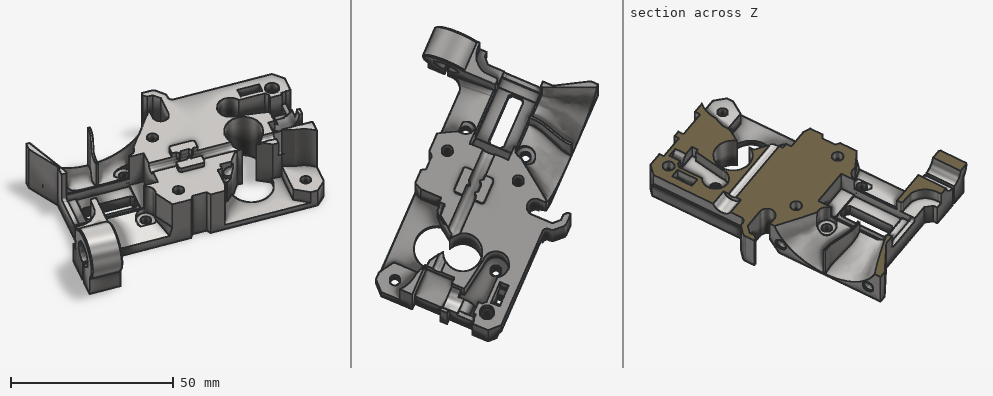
import cadquery as cq
import math


deck_z = 17.2
blade_top_z = 23.0
rear_floor_z = 11.9
channel_floor_z = 6.0
duct_floor_z = 7.4
pad_z = 6.7
pad_front = 74.4
gear_floor_z = 2.0
recess_floor_z = 7.4

body_left = -25.07
body_right = 17.0
body_rear = 84.5
corner_cut = 3.1
duct_left = -22.5
front_face = 5.9
part_left = -30.9
over = 1.0

clamp_radius = 8.0
clamp_x = 23.1
clamp_z = 12.0
clamp_front = 2.4
clamp_rear = 12.6
clamp_foot_right = 29.0
clamp_bore = 8.3
clamp_slit = 1.0
clamp_edge = 0.4
clamp_web_radius = 4.2

slot_front = 40.5
slot_rear = 45.7
slot_end = -17.4
slot_radius = (slot_rear - slot_front) / 2

groove_diameter = 4.0
rear_groove_diameter = 2.8
groove_step_y = 63.0
groove_axis_z = 17.2
guide_x = 5.05
guide_front = 40.4
guide_rear = 48.8
guide_z = 18.9
corner_radius = 0.9
tooth_half = 0.75
tooth_reach = 0.8

channel_x = 6.5
channel_rear = 32.8
bay_wall_front = 28.1
clamp_wall_front = 10.6
lip_rear = 7.5
ledge_z = 4.6
sunken_z = 4.0
duct_x = 7.1
duct_center_y = 20.5
duct_half_width = 19.4
duct_depth = 16.7
throat_center_y = 18.1
throat_half_width = 10.5
screw_seat_x = 10.0
screw_seat_y = 27.6
screw_seat_z = 5.4

notch_left = -16.7
tab_left = -8.2
pocket_left = -5.9
pocket_right = 3.5
pocket_front = 73.4
pocket_rear = 82.6
ramp_front = 75.4
ramp_center_y = 78.5
ramp_radius = 4.95
rear_wall_face = 82.9
rear_wall_inner = 81.4
lever_rear = 77.5

left_bore = (-5.1, 65.0, 12.0)
right_bore = (4.0, 64.25, 14.0)
chamber_tip_x = 0.4
tip_rear_y = 66.8
tip_front_y = 60.9

screw_diameter = 3.3
rear_screw_y = 79.4
cross_hole_y = 56.4
cross_hole_z = 13.05


def prism(points, z_low, z_high):
    """Straight prism over a closed XY polygon."""
    base = cq.Workplane("XY").workplane(offset=z_low)
    return base.polyline(points).close().extrude(z_high - z_low)


def block(x0, x1, y0, y1, z0, z1):
    """Box given by its limits."""
    return cq.Workplane("XY").box(x1 - x0, y1 - y0, z1 - z0, centered=False).translate((x0, y0, z0))


def bore_z(x, y, diameter, z_low, z_high):
    """Vertical cylinder."""
    base = cq.Workplane("XY").workplane(offset=z_low).center(x, y)
    return base.circle(diameter / 2).extrude(z_high - z_low)


def bore_y(x, z, diameter, y0, y1):
    """Cylinder along Y."""
    return cq.Workplane("XZ").workplane(offset=-y1).center(x, z).circle(diameter / 2).extrude(y1 - y0)


def bore_x(y, z, diameter, x0, x1):
    """Cylinder along X."""
    return cq.Workplane("YZ").workplane(offset=x0).center(y, z).circle(diameter / 2).extrude(x1 - x0)


def side_prism(points, x0, x1):
    """Straight prism along X over a closed YZ polygon."""
    return cq.Workplane("YZ").workplane(offset=x0).polyline(points).close().extrude(x1 - x0)


def body_plate():
    """Body plate extruded from its plan outline, including the hook and the web beside the clamp."""
    notch_x = 15.65
    hook_rear = 47.8
    root_radius = 1.5
    hook_radius = 1.7
    root_mid = root_radius * (1 - math.sqrt(0.5))
    slot_arc_x = slot_end - slot_radius
    web_y = clamp_rear + clamp_web_radius
    web_x = body_right + clamp_web_radius
    web_mid = clamp_web_radius * (1 - math.sqrt(0.5))
    outline = (
        cq.Workplane("XY")
        .moveTo(duct_left, 0)
        .lineTo(-20.0, 0)
        .lineTo(-9.9, front_face)
        .lineTo(11.9, front_face)
        .lineTo(13.85, 3.8)
        .lineTo(13.85, clamp_front)
        .lineTo(body_right, clamp_front)
        .lineTo(web_x, clamp_front)
        .lineTo(web_x, clamp_rear)
        .threePointArc((body_right + web_mid, clamp_rear + web_mid), (body_right, web_y))
        .lineTo(body_right, 39.9)
        .lineTo(notch_x, 40.9)
        .lineTo(notch_x, 45.5)
        .lineTo(body_right, 46.3)
        .lineTo(body_right, body_rear - corner_cut)
        .lineTo(body_right - corner_cut, body_rear)
        .lineTo(body_left + corner_cut, body_rear)
        .lineTo(body_left, body_rear - corner_cut)
        .lineTo(body_left, hook_rear + root_radius)
        .threePointArc((body_left - root_mid, hook_rear + root_mid), (body_left - root_radius, hook_rear))
        .lineTo(-27.7, hook_rear)
        .lineTo(part_left, 44.8)
        .lineTo(part_left, 40.8)
        .lineTo(-29.9, 40.8)
        .lineTo(-28.85, 41.9)
        .lineTo(-28.85, 43.7)
        .lineTo(-26.85, slot_rear)
        .lineTo(slot_arc_x, slot_rear)
        .threePointArc((slot_end, slot_front + slot_radius), (slot_arc_x, slot_front))
        .lineTo(duct_left, slot_front)
        .close()
    )
    plate = outline.extrude(deck_z)
    for corner in ((-27.7, hook_rear), (part_left, 44.8)):
        plate = plate.edges(cq.selectors.NearestToPointSelector((*corner, deck_z / 2))).fillet(hook_radius)
    return plate


def clamp():
    """Round rod clamp on a straight foot, joined to the body's right side."""
    barrel = bore_y(clamp_x, clamp_z, 2 * clamp_radius, clamp_front, clamp_rear)
    barrel = barrel.edges("%CIRCLE").chamfer(clamp_edge)
    foot = block(body_right, clamp_foot_right, clamp_front, clamp_rear, 0, clamp_z)
    shoulder = block(body_right - over, clamp_x, clamp_front, clamp_rear, 0, deck_z)
    return barrel.union(foot).union(shoulder)


def clamp_opening():
    """Rod bore with the slit below it."""
    y0, y1 = clamp_front - over, clamp_rear + over
    slit = block(clamp_x - clamp_slit / 2, clamp_x + clamp_slit / 2, y0, y1, -over, clamp_z)
    return bore_y(clamp_x, clamp_z, clamp_bore, y0, y1).union(slit)


def blade():
    """Tall guide blade at the rear, with a hollow curved right side."""
    outline = (
        cq.Workplane("XY")
        .moveTo(pocket_right, pad_front)
        .lineTo(pocket_right, body_rear)
        .lineTo(7.6, body_rear)
        .threePointArc((5.4, 80.5), (4.9, 77.8))
        .close()
    )
    return outline.extrude(blade_top_z)


def left_side_groove():
    """Shallow V groove along the lower left side, running to the rear end."""
    profile = [
        (body_left - over, 7.45),
        (body_left, 7.45),
        (body_left + 0.3, 6.6),
        (body_left + 1.6, 4.24),
        (body_left + 1.7, 3.15),
        (body_left + 0.9, -over),
        (body_left - over, -over),
    ]
    start_y = 47.9
    hook_root_y = 49.3
    length = body_rear - start_y + over
    groove = cq.Workplane("XZ").workplane(offset=-body_rear - over).polyline(profile).close()
    groove = groove.extrude(length)
    return groove.cut(block(part_left, body_left, 0, hook_root_y, 0, deck_z))


def duct_section(plane_x, center_y, half_width, depth, power):
    """Half superellipse opening upwards: power 2 is an ellipse, higher is boxier."""
    steps = 16
    points = []
    for i in range(steps + 1):
        angle = math.pi * i / steps
        c, s = math.cos(angle), math.sin(angle)
        y = center_y - math.copysign(abs(c) ** (2 / power), c) * half_width
        points.append(cq.Vector(plane_x, y, deck_z - depth * max(s, 0) ** (2 / power)))
    rise = cq.Vector(0, 0, over)
    first, last = points[0], points[-1]
    edges = [
        cq.Edge.makeSpline(points),
        cq.Edge.makeLine(last, last + rise),
        cq.Edge.makeLine(last + rise, first + rise),
        cq.Edge.makeLine(first + rise, first),
    ]
    return cq.Wire.assembleEdges(edges)


def fan_duct():
    """Funnel from the round fan mouth on the left to the boxy throat at the channel."""
    mouth = duct_section(duct_left, duct_center_y, duct_half_width, duct_depth, 2)
    throat_depth = deck_z - duct_floor_z
    throat = duct_section(-duct_x, throat_center_y, throat_half_width, throat_depth, 5)
    funnel = cq.Workplane(obj=cq.Solid.makeLoft([mouth, throat], True))
    front = throat_center_y - throat_half_width
    outlet = block(-duct_x, -channel_x + over, front, bay_wall_front, duct_floor_z, deck_z + over)
    return funnel.union(outlet)


def duct_fin():
    """Thin curved fin that splits the air stream."""
    half = 0.35
    path = [(-22.5, 20.5), (-19.5, 20.3), (-11.5, 18.0), (-duct_x, 17.8)]
    near = [(x, y - half) for x, y in path]
    far = [(x, y + half) for x, y in reversed(path)]
    outline = cq.Workplane("XY").moveTo(*near[0]).spline(near[1:], includeCurrent=True)
    return outline.lineTo(*far[0]).spline(far[1:], includeCurrent=True).close().extrude(deck_z)


def front_channel():
    """Open channel at the front, its sunken floor and the slot through it."""
    lip = block(-channel_x, channel_x, -over, lip_rear, channel_floor_z, deck_z + over)
    lip = lip.edges("|Y and <Z").fillet(corner_radius)
    ledge = block(-channel_x, channel_x, lip_rear, channel_rear, ledge_z, deck_z + over)
    floor = block(-channel_x, channel_x, clamp_wall_front, bay_wall_front, sunken_z, deck_z)
    slot = block(-2.5, 2.5, 10.7, 28.0, -over, deck_z).edges("|Z").chamfer(1.0)
    return lip.union(ledge).union(floor).union(slot)


def bay_floor_section(x):
    """YZ outline of the bay floor at a given X, with a small ramp against the clamp wall."""
    bay_fall = 4.0
    drop = bay_fall * (x - duct_x) / (body_right - duct_x)
    floor_z = duct_floor_z - drop
    ramp_rear, ramp_rise, floor_rear = 14.5, 0.4, 50.0
    return [
        (0, 0),
        (0, floor_z + ramp_rise),
        (clamp_rear, floor_z + ramp_rise),
        (ramp_rear, floor_z),
        (floor_rear, floor_z),
        (floor_rear, 0),
    ]


def right_bay():
    """Open bay behind the clamp wall: sloping floor and an oblique rear wall with a sloped foot."""
    far_x = 22.0
    wall_slope = (33.8 - bay_wall_front) / (body_right - channel_x)

    def wall_y(x):
        return bay_wall_front + wall_slope * (x - channel_x)

    bay = prism(
        [(channel_x, clamp_rear), (far_x, clamp_rear), (far_x, wall_y(far_x)), (channel_x, bay_wall_front)],
        0,
        deck_z + over,
    )
    inner_floor = block(0, duct_x, 0, channel_rear, 0, duct_floor_z)
    floor = cq.Workplane("YZ").workplane(offset=duct_x).polyline(bay_floor_section(duct_x)).close()
    floor = floor.workplane(offset=far_x - duct_x).polyline(bay_floor_section(far_x)).close()
    floor = floor.loft(ruled=True)

    foot_x, foot_top, foot_width, sliver = 10.5, 7.0, 2.4, 0.05

    def foot_outline(width):
        return [
            (foot_x, wall_y(foot_x) - width / 3),
            (far_x, wall_y(far_x) - width),
            (far_x, wall_y(far_x) + over),
            (foot_x, wall_y(foot_x) + over),
        ]

    foot = cq.Workplane("XY").polyline(foot_outline(foot_width)).close()
    foot = foot.workplane(offset=foot_top).polyline(foot_outline(sliver)).close().loft(ruled=True)
    return bay.cut(inner_floor).cut(floor).cut(foot)


def front_corner():
    """Rounded step in front of the clamp wall, rounding the tip of that wall."""
    tip_radius = 0.7
    tip_mid = tip_radius * (1 - math.sqrt(0.5))
    tip_middle = (channel_x + tip_mid, clamp_wall_front + tip_mid)
    tip_end = (channel_x + tip_radius, clamp_wall_front)
    outline = (
        cq.Workplane("XY")
        .workplane(offset=duct_floor_z)
        .moveTo(0, 0)
        .lineTo(0, clamp_wall_front + tip_radius)
        .lineTo(channel_x, clamp_wall_front + tip_radius)
        .threePointArc(tip_middle, tip_end)
        .lineTo(11.3, 10.4)
        .threePointArc((15.0, 7.6), (16.1, 3.7))
        .lineTo(16.1, 0)
        .close()
    )
    return outline.extrude(deck_z)


def gear_chamber():
    """Right half of the gear space: stepped floor around the right-hand bore."""
    right = body_right + over
    top = deck_z + over
    outline = [
        (chamber_tip_x, tip_rear_y),
        (3.3, 71.5),
        (pocket_right, pad_front),
        (right, pad_front),
        (right, 50.3),
        (body_right, 50.9),
        (14.6, 51.9),
        (7.8, 51.9),
        (7.8, 55.0),
        (5.9, 57.0),
        (chamber_tip_x, tip_front_y),
    ]
    chamber = prism(outline, gear_floor_z, top)
    pad_edge = [(14.0, pad_front), (right, pad_front), (right, 79.1), (body_right, 79.1)]
    pad_corner = prism(pad_edge, gear_floor_z, top)
    above_pad = block(pocket_right, right, pad_front, body_rear + over, pad_z, top)
    bore = bore_z(*right_bore, -over, top).intersect(prism(outline, -over, top))
    return chamber.union(pad_corner).union(above_pad).union(bore)


def lever_recess():
    """Recess for the sensor lever with a round pivot end and its screw hole."""
    top = deck_z + over
    pivot_x, pivot_y = -15.95, 64.5
    outline = [
        (-18.0, 67.5),
        (-18.0, 76.5),
        (-17.0, lever_rear),
        (-9.0, lever_rear),
        (-9.0, ramp_front),
        (-10.1, ramp_front),
        (-11.9, pivot_y),
        (pivot_x, pivot_y),
    ]
    recess = prism(outline, recess_floor_z, top)
    recess = recess.union(bore_z(pivot_x, pivot_y, 8.2, recess_floor_z, top))
    screw = bore_z(pivot_x, pivot_y, 3.0, -over, top)
    return recess.union(screw).union(bore_z(pivot_x, pivot_y, 3.5, recess_floor_z - over, top))


def rear_cuts():
    """Rear notches, flat pocket, curved ramp and the rounded drop on its left."""
    top = deck_z + over
    back = body_rear + over
    ramp_left = -10.9
    round_radius = 3.4
    cuts = block(notch_left, tab_left, rear_wall_face, back, -over, top)
    cuts = cuts.union(block(pocket_left, pocket_right, pocket_rear, back, -over, top))
    cuts = cuts.union(block(pocket_left, pocket_right, pocket_front, back, rear_floor_z, top))
    cuts = cuts.union(block(notch_left + 0.2, ramp_left, rear_wall_inner, back, rear_floor_z, top))
    ramp = bore_x(ramp_center_y, rear_floor_z + ramp_radius, 2 * ramp_radius, ramp_left, pocket_left)
    ramp = ramp.intersect(block(ramp_left, pocket_left, ramp_front, back, 0, top))
    trough_z = rear_floor_z - round_radius
    trough = block(-15.7, ramp_left, lever_rear, rear_wall_inner, trough_z, top)
    shoulder = bore_y(ramp_left, trough_z, 2 * round_radius, lever_rear, rear_wall_inner)
    return cuts.union(ramp).union(trough.cut(shoulder))


def sensor_slot():
    """Cable slot with a shorter opening through the underside."""
    x0, x1 = -22.25, -19.35
    shelf_z = 8.0
    upper = block(x0, x1, 69.1, 76.2, shelf_z, deck_z + over)
    return upper.union(block(x0, x1, 71.1, 74.0, -over, shelf_z))


def guide_pads():
    """Two raised pads beside the filament, before the groove is cut."""
    pads = block(-guide_x, guide_x, guide_front, guide_rear, deck_z - over, guide_z)
    return pads.edges("|Z").fillet(corner_radius)


def guide_teeth():
    """Small triangular teeth reaching from the pads over the groove."""
    edge = groove_diameter / 2
    teeth = cq.Workplane("XY")
    for side, y in ((-1, 46.7), (1, 44.6), (-1, 42.6)):
        root = side * (edge + 0.3)
        shoulder = side * edge
        tip = side * (edge - tooth_reach)
        outline = [
            (root, y - tooth_half),
            (shoulder, y - tooth_half),
            (tip, y),
            (shoulder, y + tooth_half),
            (root, y + tooth_half),
        ]
        teeth = teeth.add(prism(outline, deck_z - 1.6, guide_z))
    return teeth.combine()


def filament_groove():
    """Round-bottomed groove, wide in front of the gears and narrow behind them."""
    def trough(diameter, y0, y1):
        half = diameter / 2
        return bore_y(0, groove_axis_z, diameter, y0, y1).union(
            block(-half, half, y0, y1, groove_axis_z, guide_z + over)
        )

    return trough(groove_diameter, channel_rear - over, groove_step_y).union(
        trough(rear_groove_diameter, groove_step_y, pocket_front + over)
    )


def vertical_holes():
    """Bores and screw holes through the body."""
    top = deck_z + over
    holes = bore_z(*left_bore, -over, top)
    for x in (-11.9, 11.9):
        holes = holes.union(bore_z(x, 37.6, 3.5, -over, top))
    for x in (-screw_seat_x, screw_seat_x):
        holes = holes.union(bore_z(x, screw_seat_y, screw_diameter, -over, top))
        holes = holes.union(bore_z(x, screw_seat_y, 6.2, screw_seat_z, top))
    holes = holes.union(bore_z(11.5, rear_screw_y, screw_diameter, -over, top))
    corner_x, corner_y = -19.4, rear_screw_y
    holes = holes.union(bore_z(corner_x, corner_y, 3.6, -over, top))
    return holes.union(bore_z(corner_x, corner_y, 4.4, deck_z - 3.0, top))


def side_holes():
    """Cross screw hole with seats on both ends, and the two fan screw holes."""
    holes = bore_x(cross_hole_y, cross_hole_z, 4.0, body_left - over, body_right)
    holes = holes.union(bore_x(cross_hole_y, cross_hole_z, 7.0, body_left - over, body_left + 6.0))
    nut_x0, nut_x1, nut_d = 5.9, 7.9, 6.1
    holes = holes.union(bore_x(cross_hole_y, cross_hole_z, nut_d, nut_x0, nut_x1))
    half = nut_d / 2
    entry = block(nut_x0, nut_x1, cross_hole_y - half, cross_hole_y + half, cross_hole_z, deck_z + over)
    holes = holes.union(entry)
    fan_screw_z, fan_screw_depth, mouth_depth = 4.15, 7.0, 0.5
    for y in (4.6, 36.5):
        hole = bore_x(y, fan_screw_z, screw_diameter, duct_left - over, duct_left + fan_screw_depth)
        mouth = bore_x(y, fan_screw_z, 3.9, duct_left - over, duct_left + mouth_depth)
        holes = holes.union(hole).union(mouth)
    return holes


def lower_corner_cut():
    """Slanting cut under the rear corner of the fan mount, fading out inwards."""
    run, rise, depth = 3.4, 4.4, 4.0
    tip_scale = 0.02

    def triangle(scale):
        return [(slot_front, 0), (slot_front - run * scale, 0), (slot_front, rise * scale)]

    large = cq.Workplane("YZ").workplane(offset=duct_left).polyline(triangle(1)).close()
    return large.workplane(offset=depth).polyline(triangle(tip_scale)).close().loft(ruled=True)


body = body_plate().union(clamp())
for cutter in (
    left_side_groove(),
    fan_duct(),
    right_bay(),
    front_corner(),
    gear_chamber(),
    lever_recess(),
    rear_cuts(),
    sensor_slot(),
    lower_corner_cut(),
):
    body = body.cut(cutter)

body = body.union(duct_fin()).union(blade()).union(guide_pads())
for cutter in (front_channel(), filament_groove(), clamp_opening(), vertical_holes(), side_holes()):
    body = body.cut(cutter)

result = body.union(guide_teeth())